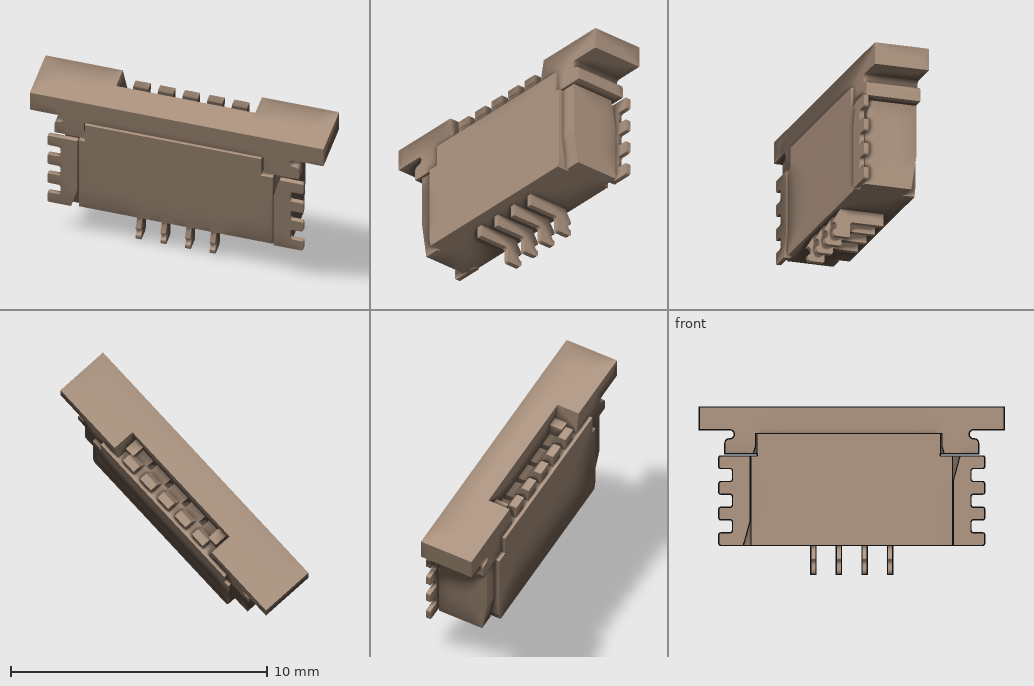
import cadquery as cq
import math


bar_length = 11.92
bar_depth = 2.24
bar_top = 5.41
bar_bottom = 4.52
arm_half_width = 4.96
arm_bottom = 3.58
relief_radius = 0.173
relief_reach = 4.59
arm_corner_radius = 0.18

housing_front = -0.12
housing_back = 2.38
housing_half_width = 3.93
neck_left = -3.7
neck_right = 3.46
housing_top = 4.37
shoulder = 3.5
taper_height = 0.35
taper_inset = 0.1
taper_depth = 0.5

gap_width_top = 0.07
gap_width_bottom = 0.15
gap_bend = 3.86
gap_depth = 0.39

wing_half_width = 4.6
wing_front = 0.07
wing_front_top = 0.29
wing_front_bend = 2.26
web_setback = 0.12
wing_back = 2.19
wing_back_bottom = 1.98
wing_back_bend = 1.38

tab_front = -0.19
tab_outer = 5.2
tab_inner = 3.98
tab_taper = 0.25
tab_taper_height = 0.92
tooth_count = 4
tooth_depth = 0.54
tooth_pitch = 2 * shoulder / (2 * tooth_count - 1)
tooth_corner_radius = 0.1

opening_top_half_width = 2.83
opening_floor_half_width = 2.61
opening_front = 1.3
slot_half_width = 2.19
step_height = 0.48
step_back = 1.84
slot_back = 1.66
slot_floor_back = 1.54
slot_depth = 0.06

pitch = 1.0

rib_count = 5
rib_width = 0.62
rib_back = 2.26
rib_crest = 2.01
rib_nose = 1.91
rib_top = 4.98
rib_nose_drop = 0.08
rib_overhang = 4.67
rib_slope = math.radians(63)
rib_nose_bulge = 0.3

pin_count = 4
pin_width = 0.21
pin_drop = 1.13
pin_front = tab_front
pin_root_front = 0.11
shank_back = 1.87
shank_drop = 0.5
leg_back = 0.5
lip_drop = 0.5
toe_notch_drop = 0.72
toe_notch_radius = 0.15
leg_root_radius = 0.12
heel_radius = 0.1
toe_radius = 0.14
lip_radius = 0.02
toe_tip_radius = 0.06


def centred_row(count):
    return [(i - (count - 1) / 2) * pitch for i in range(count)]


def box(x_low, x_high, y_low, y_high, z_low, z_high):
    return cq.Workplane("XY").box(
        x_high - x_low, y_high - y_low, z_high - z_low, centered=False
    ).translate((x_low, y_low, z_low))


def extrude_xz(points, y_low, y_high):
    return cq.Workplane("XZ", origin=(0, y_low, 0)).polyline(points).close().extrude(y_low - y_high)


def extrude_yz(points, x_low, x_high):
    return cq.Workplane("YZ", origin=(x_low, 0, 0)).polyline(points).close().extrude(x_high - x_low)


def both_sides(right_side):
    return right_side.union(right_side.mirror("YZ"))


def make_housing():
    body = box(-housing_half_width, housing_half_width, housing_front, housing_back, 0, shoulder)
    neck = box(neck_left, neck_right, housing_front, housing_back, shoulder, housing_top)
    taper = extrude_xz(
        [(housing_half_width - taper_inset, 0), (housing_half_width, 0), (housing_half_width, taper_height)],
        housing_back - taper_depth,
        housing_back,
    )
    return body.cut(both_sides(taper)).union(neck)


def make_wings():
    profile = [
        (wing_front, 0),
        (wing_front, wing_front_bend),
        (wing_front_top, shoulder),
        (wing_back, shoulder),
        (wing_back, wing_back_bend),
        (wing_back_bottom, 0),
    ]
    wing = extrude_yz(profile, housing_half_width, wing_half_width)
    web = box(tab_inner + tab_taper, wing_half_width - web_setback, 0, wing_front, 0, wing_front_bend)
    return both_sides(wing.union(web))


def make_lock_bar_half(neck_side):
    """Right half of the bar, with its arm reaching in to the neck at neck_side."""
    relief_centre_x = relief_reach + relief_radius
    arm_top = bar_bottom - 2 * relief_radius
    corner_slant = arm_corner_radius * (1 - math.sqrt(0.5))
    half = (
        cq.Workplane("XZ")
        .moveTo(0, bar_top)
        .lineTo(bar_length / 2, bar_top)
        .lineTo(bar_length / 2, bar_bottom)
        .lineTo(relief_centre_x, bar_bottom)
        .threePointArc((relief_reach, bar_bottom - relief_radius), (relief_centre_x, arm_top))
        .lineTo(arm_half_width - arm_corner_radius, arm_top)
        .threePointArc(
            (arm_half_width - corner_slant, arm_top - corner_slant),
            (arm_half_width, arm_top - arm_corner_radius),
        )
        .lineTo(arm_half_width, arm_bottom)
        .lineTo(neck_side, arm_bottom)
        .lineTo(neck_side, housing_top)
        .lineTo(0, housing_top)
        .close()
        .extrude(-bar_depth)
    )
    gap = extrude_xz(
        [
            (neck_side, arm_bottom),
            (neck_side + gap_width_bottom, arm_bottom),
            (neck_side + gap_width_top, gap_bend),
            (neck_side + gap_width_top, housing_top),
            (neck_side, housing_top),
        ],
        0,
        gap_depth,
    )
    return half.cut(gap)


def make_lock_bar():
    left_half = make_lock_bar_half(-neck_left).mirror("YZ")
    return make_lock_bar_half(neck_right).union(left_half)


def make_tab():
    """Left tab: a comb of rounded teeth with a tapered lower inner corner."""
    plate = extrude_xz(
        [
            (-tab_outer, 0),
            (-tab_outer, shoulder),
            (-tab_inner, shoulder),
            (-tab_inner, tab_taper_height),
            (-tab_inner - tab_taper, 0),
        ],
        tab_front,
        0,
    )
    tooth = tooth_pitch / 2
    root = -tab_outer + tooth_depth
    for i in range(tooth_count - 1):
        notch_low = i * tooth_pitch + tooth
        plate = plate.cut(box(-tab_outer, root, tab_front, 0, notch_low, notch_low + tooth))
    margin = tooth_depth / 4
    teeth_zone = cq.selectors.BoxSelector(
        (-tab_outer - margin, tab_front - margin, -margin), (root + margin, margin, shoulder + margin)
    )
    return plate.edges("|Y").edges(teeth_zone).fillet(tooth_corner_radius)


def make_tabs():
    left = make_tab()
    right = left.rotate((0, 0, shoulder / 2), (0, 1, shoulder / 2), 180)
    return left.union(right)


def cut_opening(body):
    opening = extrude_xz(
        [
            (-opening_top_half_width, bar_top),
            (opening_top_half_width, bar_top),
            (opening_floor_half_width, housing_top),
            (-opening_floor_half_width, housing_top),
        ],
        opening_front,
        bar_depth,
    )
    slot_floor = housing_top - slot_depth
    slot = extrude_yz(
        [
            (opening_front, housing_top),
            (opening_front, slot_floor),
            (slot_floor_back, slot_floor),
            (slot_back, housing_top),
        ],
        -slot_half_width,
        slot_half_width,
    )
    body = body.cut(opening).cut(slot)
    groove_bottom = housing_top - (slot_back - opening_front) * math.tan(rib_slope)
    for x in centred_row(pin_count):
        groove = extrude_yz(
            [(opening_front, housing_top), (opening_front, groove_bottom), (slot_back, housing_top)],
            x - pin_width / 2,
            x + pin_width / 2,
        )
        body = body.cut(groove)
    return body


def make_rib(x):
    nose_height = rib_top - rib_nose_drop
    slope_end = nose_height - (rib_nose - slot_back) * math.tan(rib_slope)
    return (
        cq.Workplane("YZ", origin=(x - rib_width / 2, 0, 0))
        .moveTo(slot_back, housing_top)
        .lineTo(slot_back, slope_end)
        .lineTo(rib_nose, nose_height)
        .threePointArc(
            (rib_nose + rib_nose_bulge * (rib_crest - rib_nose), rib_top - rib_nose_bulge * rib_nose_drop),
            (rib_crest, rib_top),
        )
        .lineTo(rib_back, rib_top)
        .lineTo(rib_back, rib_overhang)
        .lineTo(bar_depth, rib_overhang)
        .lineTo(bar_depth, housing_top)
        .close()
        .extrude(rib_width)
    )


def make_steps():
    """Raised steps at both ends of the slot, overlapping the outermost ribs."""
    step_top = housing_top + step_height
    return both_sides(
        box(slot_half_width, opening_floor_half_width, opening_front, step_back, housing_top, step_top)
    )


def round_pin_corners(pin, corners):
    for y, z, radius in corners:
        corner_edge = cq.selectors.NearestToPointSelector((0, y, z))
        pin = pin.edges("|X").edges(corner_edge).fillet(radius)
    return pin


def make_pin():
    """Pin centred on X = 0: a straight shank, then a leg with a notched toe."""
    outline = [
        (pin_root_front, 0),
        (shank_back, 0),
        (shank_back, -shank_drop),
        (leg_back, -shank_drop),
        (leg_back, -pin_drop),
        (pin_front, -pin_drop),
        (pin_front, -lip_drop),
    ]
    pin = extrude_yz(outline, -pin_width / 2, pin_width / 2)
    outer_corners = [
        (leg_back, -shank_drop, leg_root_radius),
        (leg_back, -pin_drop, heel_radius),
        (pin_front, -pin_drop, toe_radius),
    ]
    pin = round_pin_corners(pin, outer_corners)
    notch = (
        cq.Workplane("YZ", origin=(-pin_width / 2, 0, 0))
        .center(pin_front, -toe_notch_drop)
        .circle(toe_notch_radius)
        .extrude(pin_width)
    )
    toe_corners = [
        (pin_front, -lip_drop, lip_radius),
        (pin_front, -toe_notch_drop + toe_notch_radius, lip_radius),
        (pin_front, -toe_notch_drop - toe_notch_radius, toe_tip_radius),
    ]
    return round_pin_corners(pin.cut(notch), toe_corners)


result = make_housing().union(make_wings()).union(make_lock_bar())
result = cut_opening(result).union(make_tabs())
for x in centred_row(rib_count):
    result = result.union(make_rib(x))
result = result.union(make_steps())
pin = make_pin()
for x in centred_row(pin_count):
    result = result.union(pin.translate((x, 0, 0)))